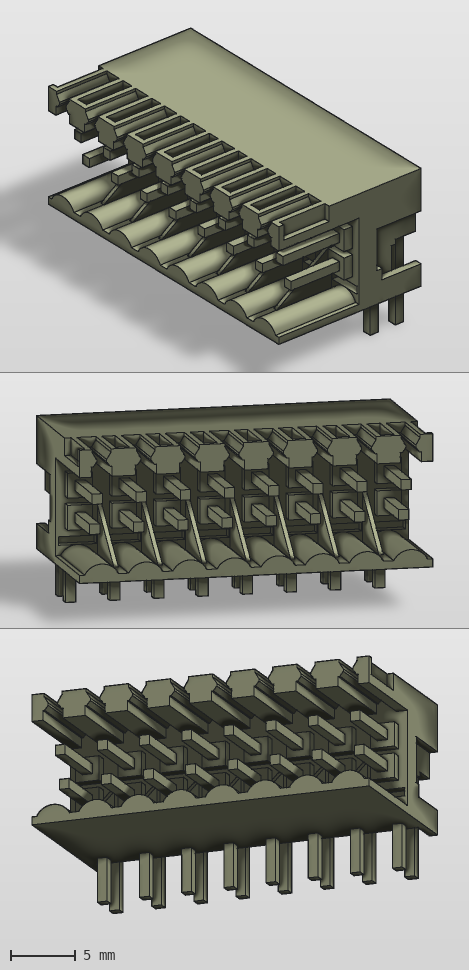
import cadquery as cq


length = 28.0
depth = 14.2
height = 14.0
positions = 8
pitch = length / positions
pin_centers = [pitch * (i + 0.5) for i in range(positions)]
pitch_borders = [pitch * i for i in range(positions + 1)]

base_z = 3.53
floor_z = 4.17
roof_z = 11.85
front_wall_y = 7.98

plate_thickness = 0.67
cutout_bottom_z = 5.52
cutout_step_z = 6.52
cutout_top_z = 10.22
cutout_depth = 4.42
cutout_step_depth = 3.9
overhang_z = 8.12
overhang_step_z = 7.7
overhang_depth = 2.0
rear_gap_depth = 2.45

latch_length = 5.0
taper_top_z = 13.75
neck_z = 13.2
neck_lower_z = 13.0
shoulder_z = 12.63
latch_top_width = 1.48
neck_width = 0.78
shoulder_width = 1.37
latch_bottom_width = 1.65

pocket_width = 1.05
pocket_front_wall = 0.5

hump_width = 2.72
hump_top_z = 4.98
window_width = 3.0
window_top_z = 5.65
window_depth = 0.85

rib_width = 0.35
rib_top_z = 8.05
rib_front_y = 2.52

pin_size = 0.8
collar_size = 1.95
collar_length = 0.85
upper_pin_z = 9.8
upper_pin_tip_y = 1.5
rear_tail_y = 13.13
lower_pin_z = 7.28
lower_pin_tip_y = 2.32
front_tail_y = 10.6


def box(x_range, y_range, z_range):
    """Axis-aligned box given by its limits along each axis."""
    sizes = [high - low for low, high in (x_range, y_range, z_range)]
    return cq.Workplane("XY").box(*sizes, centered=False).translate((x_range[0], y_range[0], z_range[0]))


def around(center, width):
    """Limits of a width centred on a place."""
    return (center - width / 2, center + width / 2)


def side_extrusion(points, x_range):
    """Closed outline of (y, z) points extruded along X."""
    start, end = x_range
    return cq.Workplane("YZ").polyline(points).close().extrude(end - start).translate((start, 0, 0))


def front_extrusion(points, y_end):
    """Closed outline of (x, z) points extruded from the mating front to y_end."""
    return cq.Workplane("XZ").polyline(points).close().extrude(-y_end)


def make_housing():
    """C-shaped housing: cut-out end plates with an inner body between them."""
    front_outline = [
        (depth, height),
        (0, height),
        (0, roof_z),
        (front_wall_y, roof_z),
        (front_wall_y, floor_z),
        (0, floor_z),
        (0, base_z),
    ]
    plate_rear = [
        (depth, base_z),
        (depth, cutout_bottom_z),
        (depth - cutout_step_depth, cutout_bottom_z),
        (depth - cutout_step_depth, cutout_step_z),
        (depth - cutout_depth, cutout_step_z),
        (depth - cutout_depth, cutout_top_z),
        (depth, cutout_top_z),
    ]
    body_rear = [
        (depth - rear_gap_depth, base_z),
        (depth - rear_gap_depth, overhang_step_z),
        (depth - overhang_depth, overhang_step_z),
        (depth - overhang_depth, overhang_z),
        (depth, overhang_z),
    ]
    plates = side_extrusion(front_outline + plate_rear, (0, length))
    plates = plates.cut(
        box((plate_thickness, length - plate_thickness), (front_wall_y, depth), (base_z, cutout_top_z))
    )
    inner_body = side_extrusion(front_outline + body_rear, (plate_thickness, length - plate_thickness))
    return plates.union(inner_body)


def latch_slot(x):
    """Slot through the roof above a pin, tapering to a neck and flaring below it."""
    neck_left, neck_right = around(x, neck_width)
    top_left, top_right = around(x, latch_top_width)
    shoulder_left, shoulder_right = around(x, shoulder_width)
    upper = front_extrusion(
        [
            (neck_left, neck_z),
            (top_left, taper_top_z),
            (top_left, height),
            (top_right, height),
            (top_right, taper_top_z),
            (neck_right, neck_z),
        ],
        latch_length,
    )
    flare = front_extrusion(
        [
            (neck_left, neck_z),
            (neck_right, neck_z),
            (neck_right, neck_lower_z),
            (shoulder_right, shoulder_z),
            (shoulder_left, shoulder_z),
            (neck_left, neck_lower_z),
        ],
        front_wall_y,
    )
    channel = box(around(x, latch_bottom_width), (0, front_wall_y), (roof_z, shoulder_z))
    return upper.union(flare).union(channel)


def roof_pocket(x):
    """Pocket in the roof, open upwards."""
    return box(around(x, pocket_width), (pocket_front_wall, latch_length), (shoulder_z, height))


def wall_window(x):
    """Shallow recess in the front wall, level with the crest of the hump."""
    y_range = (front_wall_y, front_wall_y + window_depth)
    return box(around(x, window_width), y_range, (hump_top_z, window_top_z))


def floor_hump(x):
    """Circular-segment hump running along the floor."""
    left, right = around(x, hump_width)
    profile = cq.Workplane("XZ").moveTo(left, floor_z).threePointArc((x, hump_top_z), (right, floor_z))
    return profile.close().extrude(-front_wall_y)


def rib(x):
    """Triangular rib between the floor and the front wall."""
    outline = [(rib_front_y, floor_z), (front_wall_y, floor_z), (front_wall_y, rib_top_z)]
    return side_extrusion(outline, around(x, rib_width))


def bent_pin(x, pin_z, tip_y, tail_y):
    """Square pin bent down into a solder tail, with its collar on the front wall."""
    x_range = around(x, pin_size)
    tail_range = around(tail_y, pin_size)
    blade_range = around(pin_z, pin_size)
    blade = box(x_range, (tip_y, tail_range[1]), blade_range)
    tail = box(x_range, tail_range, (0, blade_range[1]))
    collar_range = (front_wall_y - collar_length, front_wall_y)
    collar = box(around(x, collar_size), collar_range, around(pin_z, collar_size))
    return blade.union(tail).union(collar)


result = make_housing()

for border_x in pitch_borders:
    result = result.cut(roof_pocket(border_x))

for pin_x in pin_centers:
    result = result.cut(latch_slot(pin_x)).cut(wall_window(pin_x))

for border_x in pitch_borders[1:-1]:
    result = result.union(rib(border_x))

for pin_x in pin_centers:
    result = result.union(floor_hump(pin_x))
    result = result.union(bent_pin(pin_x, upper_pin_z, upper_pin_tip_y, rear_tail_y))
    result = result.union(bent_pin(pin_x, lower_pin_z, lower_pin_tip_y, front_tail_y))